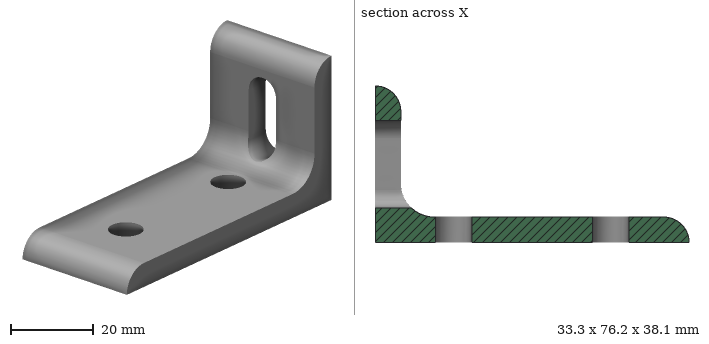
import cadquery as cq
import math

width = 33.3
length = 76.2
height = 38.1

thickness = 6.3
inner_radius = 8.0

hole_diameter = 8.7
hole_inset = length / 4
slot_length = 21.2
slot_height = height / 2


def quarter_point(center, radius, y_sign, z_sign):
    """Return the middle point of a quarter arc in the given quadrant."""
    offset = radius * math.sqrt(0.5)
    return (center[0] + y_sign * offset, center[1] + z_sign * offset)


def angle_body():
    """Extrude the L section along X, with the upright leg at +Y."""
    back = length / 2
    front = -back
    inner_face = back - thickness
    fillet_center = (inner_face - inner_radius, thickness + inner_radius)
    floor_toe_center = (front + thickness, 0)
    upright_toe_center = (back, height - thickness)
    return (
        cq.Workplane("YZ")
        .moveTo(front, 0)
        .lineTo(back, 0)
        .lineTo(back, height)
        .threePointArc(
            quarter_point(upright_toe_center, thickness, -1, 1),
            (inner_face, height - thickness),
        )
        .lineTo(inner_face, fillet_center[1])
        .threePointArc(
            quarter_point(fillet_center, inner_radius, 1, -1),
            (fillet_center[0], thickness),
        )
        .lineTo(front + thickness, thickness)
        .threePointArc(quarter_point(floor_toe_center, thickness, -1, 1), (front, 0))
        .close()
        .extrude(width / 2, both=True)
    )


def floor_holes():
    """Two round holes through the long leg, tall enough to clear the inner fillet."""
    hole_offset = length / 2 - hole_inset
    return (
        cq.Workplane("XY")
        .pushPoints([(0, -hole_offset), (0, hole_offset)])
        .circle(hole_diameter / 2)
        .extrude(height)
    )


def upright_slot():
    """A vertical slot through the upright leg and the upper part of the inner fillet."""
    return (
        cq.Workplane("XZ", origin=(0, length / 2, slot_height))
        .slot2D(slot_length, hole_diameter, 90)
        .extrude(length)
    )


result = angle_body().cut(floor_holes()).cut(upright_slot())